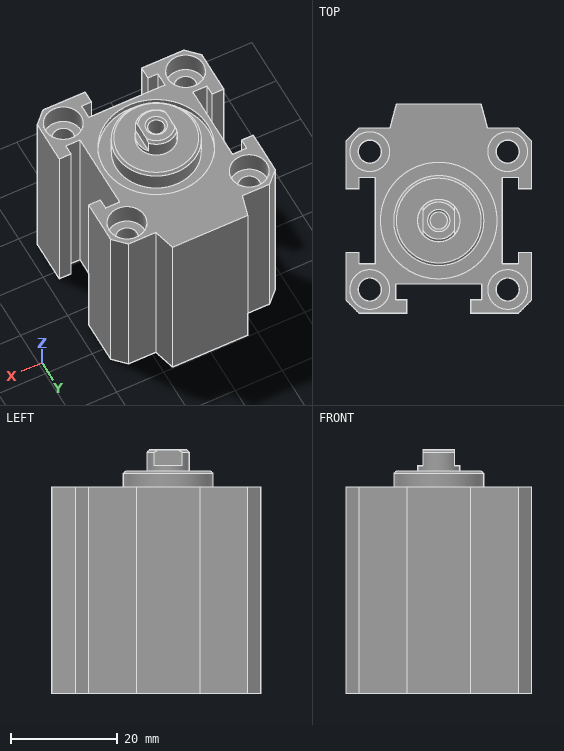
import cadquery as cq
import math

housing_height = 39.0
half_width = 17.5
corner_chamfer = 2.5
ridge_height = 4.5
ridge_half_width = 8.0
ridge_flank_angle = 15.0
ridge_base_half_width = ridge_half_width + ridge_height * math.tan(math.radians(ridge_flank_angle))

slot_depth = 5.5
slot_mouth_width = 12.0
t_slot_width = 16.2
side_slot_lip = 2.5
front_slot_lip = 2.6

mount_spacing = 26.0
mount_hole_diameter = 4.3
mount_counterbore_diameter = 7.5
mount_counterbore_depth = 4.7

recess_diameter = 22.0
recess_depth = 1.4
recess_floor = housing_height - recess_depth

overall_height = 46.0
collar_diameter = 17.0
collar_top = 42.0
tip_diameter = 8.0
tip_flats_width = 6.0
flats_bottom = 43.0
rod_edge_chamfer = 0.5
tip_hole_diameter = 3.24
tip_hole_mouth_diameter = 4.2
tip_hole_depth = 6.0


def t_slot(lip):
    """T-slot cutter that opens on the -Y side and runs the full housing height."""
    mouth = cq.Workplane("XY").box(
        slot_mouth_width, slot_depth, housing_height, centered=(True, False, False)
    )
    undercut = cq.Workplane("XY").box(
        t_slot_width, slot_depth - lip, housing_height, centered=(True, False, False)
    )
    return mouth.union(undercut.translate((0, lip, 0))).translate((0, -half_width, 0))


def make_housing():
    block = (
        cq.Workplane("XY")
        .rect(2 * half_width, 2 * half_width)
        .extrude(housing_height)
        .edges("|Z")
        .chamfer(corner_chamfer)
    )
    ridge = (
        cq.Workplane("XY")
        .moveTo(-ridge_base_half_width, half_width)
        .lineTo(-ridge_half_width, half_width + ridge_height)
        .lineTo(ridge_half_width, half_width + ridge_height)
        .lineTo(ridge_base_half_width, half_width)
        .close()
        .extrude(housing_height)
    )
    housing = block.union(ridge)

    housing = housing.cut(t_slot(front_slot_lip))
    for turn in (-90, 90):
        side_slot = t_slot(side_slot_lip).rotate((0, 0, 0), (0, 0, 1), turn)
        housing = housing.cut(side_slot)

    top = cq.Workplane("XY").workplane(offset=housing_height)
    recess = top.circle(recess_diameter / 2).extrude(-recess_depth)
    corners = top.rect(mount_spacing, mount_spacing, forConstruction=True).vertices()
    mount_holes = corners.circle(mount_hole_diameter / 2).extrude(-housing_height)
    counterbores = corners.circle(mount_counterbore_diameter / 2).extrude(-mount_counterbore_depth)
    return housing.cut(recess).cut(mount_holes).cut(counterbores)


def make_rod():
    collar = (
        cq.Workplane("XY")
        .workplane(offset=recess_floor)
        .circle(collar_diameter / 2)
        .extrude(collar_top - recess_floor)
        .faces(">Z")
        .chamfer(rod_edge_chamfer)
    )
    tip = (
        cq.Workplane("XY")
        .workplane(offset=collar_top)
        .circle(tip_diameter / 2)
        .extrude(overall_height - collar_top)
        .faces(">Z")
        .chamfer(rod_edge_chamfer)
    )

    flats_plane = cq.Workplane("XY").workplane(offset=flats_bottom)
    outside_flats = (
        flats_plane
        .rect(2 * tip_diameter, 2 * tip_diameter)
        .rect(tip_flats_width, 2 * tip_diameter)
        .extrude(overall_height - flats_bottom)
    )
    rod = collar.union(tip.cut(outside_flats))

    hole_chamfer = (tip_hole_mouth_diameter - tip_hole_diameter) / 2
    return (
        rod.faces(">Z")
        .workplane(origin=(0, 0, overall_height))
        .hole(tip_hole_diameter, tip_hole_depth)
        .faces(">Z")
        .edges(cq.selectors.RadiusNthSelector(0))
        .chamfer(hole_chamfer)
    )


housing = make_housing()
rod = make_rod()
result = cq.Compound.makeCompound([housing.val(), rod.val()])